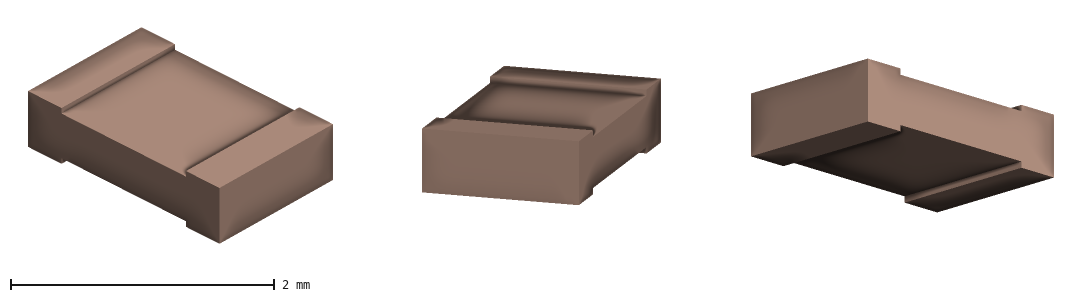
import cadquery as cq

length = 2.0
width = 1.25
height = 0.5

terminal_length = 0.35
terminal_step = 0.05

body_height = height - 2 * terminal_step
terminal_offset = (length - terminal_length) / 2


def make_terminal(x_center):
    """Full-height block at one end of the chip."""
    return cq.Workplane("XY").box(terminal_length, width, height).translate((x_center, 0, 0))


result = cq.Workplane("XY").box(length, width, body_height)
for side in (-1, 1):
    result = result.union(make_terminal(side * terminal_offset))
result = result.clean()